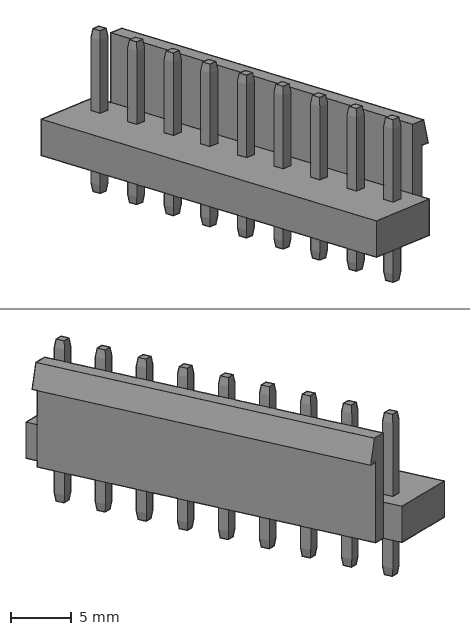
import cadquery as cq

pin_count = 9
pin_pitch = 3.96
pin_width = 1.0
pin_tip_width = 0.78
pin_tip_length = 0.75
pin_above_base = 7.2
pin_below_base = 3.93

base_height = 3.2
base_depth = 6.7
base_end_margin = 2.3
pin_to_base_back = 2.0

wall_thickness = 1.2
wall_above_base = 6.12
hook_height = 2.2
hook_reach = 0.79
hook_top_reach = 0.2

pin_row_length = (pin_count - 1) * pin_pitch
base_length = pin_row_length + 2 * base_end_margin
wall_length = pin_row_length + pin_width


def make_base():
    """Rectangular block that carries the pins."""
    center_y = pin_to_base_back - base_depth / 2
    return (
        cq.Workplane("XY")
        .center(0, center_y)
        .rect(base_length, base_depth)
        .extrude(base_height)
    )


def make_locking_wall():
    """Upright wall whose hooked profile runs along X."""
    front_y = pin_to_base_back
    back_y = front_y + wall_thickness
    top_z = base_height + wall_above_base
    hook_z = top_z - hook_height
    profile = [
        (front_y, 0),
        (back_y, 0),
        (back_y, hook_z),
        (back_y + hook_reach, hook_z),
        (back_y + hook_top_reach, top_z),
        (front_y, top_z),
    ]
    return (
        cq.Workplane("YZ")
        .polyline(profile)
        .close()
        .extrude(wall_length / 2, both=True)
    )


def make_pin():
    """Square pin through the base, tapered at both ends."""
    shank_bottom = -pin_below_base + pin_tip_length
    shank_top = base_height + pin_above_base - pin_tip_length
    shank = (
        cq.Workplane("XY", origin=(0, 0, shank_bottom))
        .rect(pin_width, pin_width)
        .extrude(shank_top - shank_bottom)
    )
    return shank.union(make_tip(shank_top, 1)).union(make_tip(shank_bottom, -1))


def make_tip(start_z, direction):
    """Tapered pin end; direction is 1 for upward and -1 for downward."""
    return (
        cq.Workplane("XY", origin=(0, 0, start_z))
        .rect(pin_width, pin_width)
        .workplane(offset=direction * pin_tip_length)
        .rect(pin_tip_width, pin_tip_width)
        .loft(ruled=True)
    )


result = make_base().union(make_locking_wall())
pin = make_pin()
for index in range(pin_count):
    pin_x = index * pin_pitch - pin_row_length / 2
    result = result.union(pin.translate((pin_x, 0, 0)))